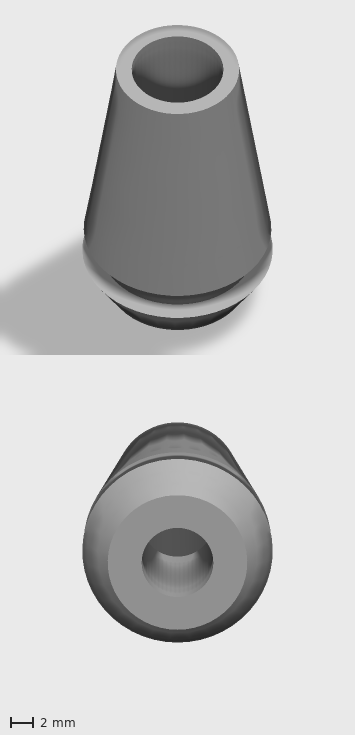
import cadquery as cq
import math

height = 27.5
flange_diameter = 17.25
flange_height = 4.0
flange_angle = 30.0
groove_diameter = 13.85
groove_width = 2.75
body_diameter = 17.0
body_angle = 8.0
bore_diameter = 6.5
counterbore_diameter = 8.3
counterbore_depth = height / 2

body_base = flange_height + groove_width
nose_radius = flange_diameter / 2 - flange_height * math.tan(math.radians(flange_angle))
top_radius = body_diameter / 2 - (height - body_base) * math.tan(math.radians(body_angle))

outer_profile = [
    (0, 0),
    (nose_radius, 0),
    (flange_diameter / 2, flange_height),
    (groove_diameter / 2, flange_height),
    (groove_diameter / 2, body_base),
    (body_diameter / 2, body_base),
    (top_radius, height),
    (0, height),
]
body = cq.Workplane("XZ").polyline(outer_profile).close().revolve(360, (0, 0), (0, 1))

result = body.faces(">Z").workplane().cboreHole(bore_diameter, counterbore_diameter, counterbore_depth)